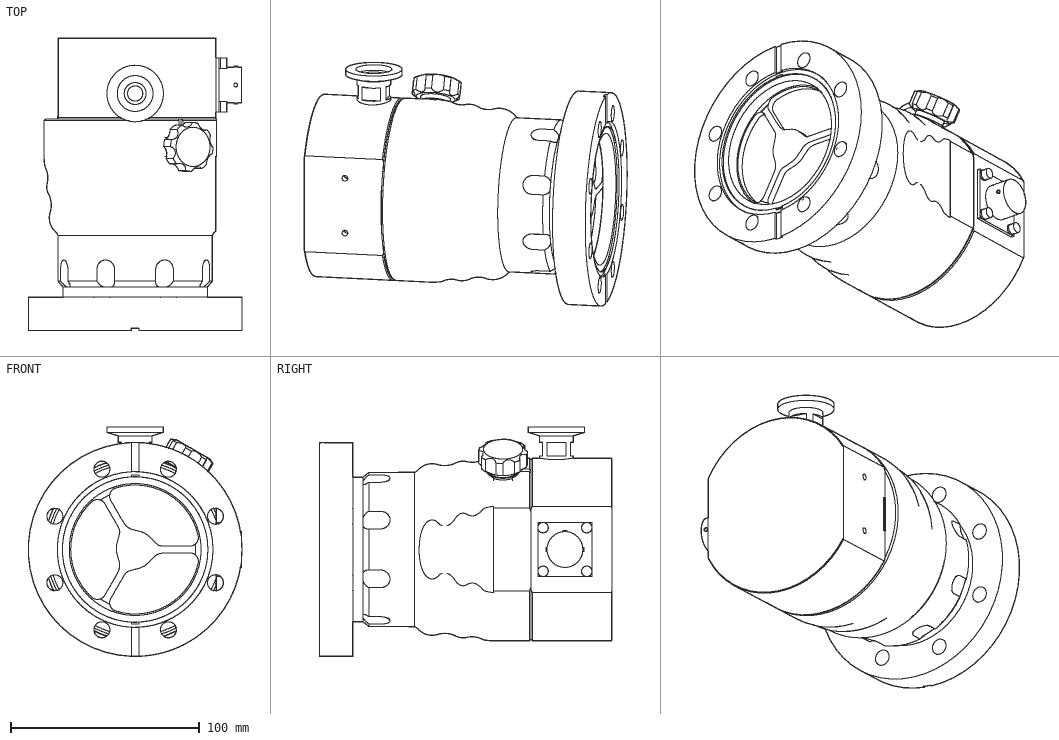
import cadquery as cq
import math


FLANGE_RADIUS = 113.5 / 2
FLANGE_THICKNESS = 17.7
BOLT_COUNT = 8
BOLT_CIRCLE_RADIUS = 92.1 / 2
BOLT_HOLE_DIAMETER = 8.4
GASKET_RECESS_RADIUS = 41.3
GASKET_RECESS_DEPTH = 2.0
KNIFE_EDGE_RADIUS = 38.6
KNIFE_EDGE_DEPTH = 0.8
KNIFE_INNER_DEPTH = 1.8
LEAK_GROOVE_WIDTH = 4.0
LEAK_GROOVE_DEPTH = 1.2

INLET_RADIUS = 35.0
SPIDER_FACE_Y = 8.3
SPIDER_HEIGHT = 4.0
SPIDER_ARMS = 3
ARM_WIDTH = 3.6
ARM_STRAIGHT_START = 17.0
ARM_ROOT_RADIUS = 4.5
HUB_MID_RADIUS = 10.0
HUB_WAIST_RADIAL = 8.2
HUB_WAIST_TANGENT = 9.0
SECTOR_RADIUS = 34.2
SPIDER_RADIUS = 32.0
SPIDER_RIM_STEP = 0.4

NECK_RADIUS = 38.4
COLLAR_RADIUS = 41.0
COLLAR_START = 23.1
COLLAR_CHAMFER_END = 26.2
COLLAR_END = 50.5
FLARE_START = 52.1
FLARE_RADIUS = 42.0
WAVES = [
    ((45.5, 58.5), (44.9, 63.4)),
    ((44.6, 67.5), (45.6, 71.6)),
    ((46.9, 75.5), (46.6, 78.6)),
    ((46.4, 82.0), (47.6, 86.3)),
]
BAND_SHOULDER = (48.1, 87.5)
BODY_RADIUS = 48.5
BAND_START = 92.4
BAND_ROUNDING_MIDDLE = (48.4, 90.2)
BAND_END = 112.3
BAND_CHAMFER = 1.0
HOUSING_FRONT_CHAMFER = 0.6
HOUSING_BACK_CHAMFER = 0.4
BODY_END = 155.2

CONNECTOR_FLAT_X = 42.8
BAND_FLAT_X = 43.2
MOUNT_FLAT_X = -40.8
MOUNT_HOLE_DIAMETER = 3.0
MOUNT_HOLE_DEPTH = 6.0
MOUNT_HOLE_Y = 133.2
MOUNT_HOLE_SPACING = 30.0
TAB_LENGTH = 18.4
TAB_WIDTH = 1.2
TAB_HEIGHT = 0.5

POCKET_WIDTH = 10.4
POCKET_END = 37.5
POCKET_FLOOR_RADIUS = NECK_RADIUS
POCKET_CORNER_RADIUS = 3.2
POCKET_HEIGHT = 8.0

PORT_Y = 125.7
PORT_TOP_Z = 65.0
PORT_RIM_RADIUS = 15.0
PORT_RIM_THICKNESS = 2.9
PORT_CONE_END_Z = 60.2
PORT_NECK_RADIUS = 9.0
PORT_BASE_Z = 40.0
WRENCH_SIZE = 15.0
WRENCH_TOP_Z = 56.8
WRENCH_BOTTOM_Z = 49.7
PORT_SEAT_DIAMETER = 19.0
PORT_SEAT_DEPTH = 3.0
PORT_BORE_DIAMETER = 11.6
PORT_BORE_END_DIAMETER = 8.1
PORT_FLOOR_Z = 44.0

KNOB_TILT = 30.0
KNOB_Y = 97.4
KNOB_TOP = 61.4
KNOB_CHAMFER_TOP = 60.1
KNOB_CHAMFER_BOTTOM = 52.8
KNOB_BOTTOM = 51.2
KNOB_RADIUS = 13.0
KNOB_FACE_RADIUS = 10.4
KNOB_STEM_RADIUS = 8.0
KNOB_STEM_BASE = 44.0
KNOB_SEAT_RADIUS = 8.7
KNOB_SEAT_TOP = 48.6
SCALLOP_COUNT = 8
SCALLOP_DIAMETER = 8.0
SCALLOP_CIRCLE_RADIUS = 15.0
FIRST_LOBE_ANGLE = -99.0
SPOT_FACE_HEIGHT = 47.6
SPOT_FACE_LENGTH = 2 * (KNOB_Y - BAND_START)
VENT_SLOT_WIDTH = 2.4
VENT_SLOT_FLOOR = 46.6

CONNECTOR_Y = 130.2
CONNECTOR_PLATE_SIZE = 28.8
CONNECTOR_PLATE_X = 44.4
CONNECTOR_BARREL_DIAMETER = 19.0
CONNECTOR_END_X = 56.5
SCREW_DIAMETER = 5.5
WASHER_DIAMETER = 5.6
WASHER_END_X = 45.3
SCREW_SPACING = 23.2
SCREW_HEAD_X = 48.7
BAYONET_PIN_DIAMETER = 2.0
BAYONET_PIN_X = 53.3
BAYONET_PIN_HEIGHT = 0.5


def box_between(x_range, y_range, z_range):
    """Box spanning the given (low, high) ranges."""
    sizes = [high - low for low, high in (x_range, y_range, z_range)]
    corner = (x_range[0], y_range[0], z_range[0])
    return cq.Workplane("XY").box(*sizes, centered=False).translate(corner)


def make_flange():
    flange = cq.Workplane("XZ").circle(FLANGE_RADIUS).extrude(-FLANGE_THICKNESS)
    holes = (
        cq.Workplane("XZ")
        .polarArray(BOLT_CIRCLE_RADIUS, 180 / BOLT_COUNT, 360, BOLT_COUNT)
        .circle(BOLT_HOLE_DIAMETER / 2)
        .extrude(-FLANGE_THICKNESS)
    )
    grooves = box_between(
        (-LEAK_GROOVE_WIDTH / 2, LEAK_GROOVE_WIDTH / 2),
        (0, LEAK_GROOVE_DEPTH),
        (-FLANGE_RADIUS, FLANGE_RADIUS),
    )
    return flange.cut(holes).cut(grooves)


def make_turned_body():
    """Neck, collar, wavy cooling jacket, band and housing in one revolved profile."""
    profile = (
        cq.Workplane("XY")
        .moveTo(0, 0)
        .lineTo(NECK_RADIUS, 0)
        .lineTo(NECK_RADIUS, COLLAR_START)
        .lineTo(COLLAR_RADIUS, COLLAR_CHAMFER_END)
        .lineTo(COLLAR_RADIUS, COLLAR_END)
        .lineTo(FLARE_RADIUS, FLARE_START)
    )
    for turning_point, end_point in WAVES:
        profile = profile.threePointArc(turning_point, end_point)
    profile = (
        profile
        .lineTo(*BAND_SHOULDER)
        .threePointArc(BAND_ROUNDING_MIDDLE, (BODY_RADIUS, BAND_START))
        .lineTo(BODY_RADIUS, BAND_END - BAND_CHAMFER)
        .lineTo(BODY_RADIUS - BAND_CHAMFER, BAND_END)
        .lineTo(BODY_RADIUS - HOUSING_FRONT_CHAMFER, BAND_END)
        .lineTo(BODY_RADIUS, BAND_END + HOUSING_FRONT_CHAMFER)
        .lineTo(BODY_RADIUS, BODY_END - HOUSING_BACK_CHAMFER)
        .lineTo(BODY_RADIUS - HOUSING_BACK_CHAMFER, BODY_END)
        .lineTo(0, BODY_END)
        .close()
    )
    return profile.revolve(360, (0, 0, 0), (0, 1, 0))


def cut_side_flats(body):
    across = (-BODY_RADIUS, BODY_RADIUS)
    jacket_flat = box_between((CONNECTOR_FLAT_X, BODY_RADIUS), (COLLAR_END, BAND_START), across)
    band_flat = box_between((BAND_FLAT_X, BODY_RADIUS), (BAND_START, BAND_END), across)
    connector_flat = box_between((CONNECTOR_FLAT_X, BODY_RADIUS), (BAND_END, BODY_END), across)
    mount_flat = box_between((-BODY_RADIUS, MOUNT_FLAT_X), (BAND_END, BODY_END), across)
    return body.cut(jacket_flat).cut(band_flat).cut(connector_flat).cut(mount_flat)


def add_mount_details(body):
    """Tab at the foot of the -X flat and the two screw holes in it."""
    tab = box_between(
        (MOUNT_FLAT_X - TAB_HEIGHT, MOUNT_FLAT_X),
        (BAND_END, BAND_END + TAB_WIDTH),
        (-TAB_LENGTH / 2, TAB_LENGTH / 2),
    )
    body = body.union(tab)
    for side in (-1, 1):
        mouth = cq.Vector(MOUNT_FLAT_X, MOUNT_HOLE_Y, side * MOUNT_HOLE_SPACING / 2)
        hole = cq.Solid.makeCylinder(MOUNT_HOLE_DIAMETER / 2, MOUNT_HOLE_DEPTH, mouth, cq.Vector(1, 0, 0))
        body = body.cut(cq.Workplane(hole))
    return body


def cut_bolt_pockets(body):
    """Round-ended pockets with rounded floors, one behind each flange hole."""
    half_width = POCKET_WIDTH / 2
    arc_start = POCKET_END - half_width
    cutter = (
        cq.Workplane("XY", origin=(0, 0, POCKET_FLOOR_RADIUS))
        .moveTo(-half_width, FLANGE_THICKNESS)
        .lineTo(-half_width, arc_start)
        .threePointArc((0, POCKET_END), (half_width, arc_start))
        .lineTo(half_width, FLANGE_THICKNESS)
        .close()
        .extrude(POCKET_HEIGHT)
    )
    cutter = cutter.faces("<Z").edges("not <Y").fillet(POCKET_CORNER_RADIUS)
    pitch = 360 / BOLT_COUNT
    for index in range(BOLT_COUNT):
        body = body.cut(cutter.rotate((0, 0, 0), (0, 1, 0), (index + 0.5) * pitch))
    return body


def make_inlet_cut():
    """Gasket recess, knife edge and bore down to the spider face."""
    profile = (
        cq.Workplane("XY")
        .moveTo(0, 0)
        .lineTo(GASKET_RECESS_RADIUS, 0)
        .lineTo(GASKET_RECESS_RADIUS, GASKET_RECESS_DEPTH)
        .lineTo(KNIFE_EDGE_RADIUS, KNIFE_EDGE_DEPTH)
        .lineTo(KNIFE_EDGE_RADIUS, KNIFE_INNER_DEPTH)
        .lineTo(INLET_RADIUS, KNIFE_INNER_DEPTH)
        .lineTo(INLET_RADIUS, SPIDER_FACE_Y + SPIDER_RIM_STEP)
        .lineTo(SPIDER_RADIUS, SPIDER_FACE_Y + SPIDER_RIM_STEP)
        .lineTo(SPIDER_RADIUS, SPIDER_FACE_Y)
        .lineTo(0, SPIDER_FACE_Y)
        .close()
    )
    return profile.revolve(360, (0, 0, 0), (0, 1, 0))


def make_sector_cut():
    """One recess between two spider arms, centred on the +X direction."""
    half_angle = math.pi / SPIDER_ARMS
    arm_direction = cq.Vector(math.cos(half_angle), math.sin(half_angle))
    edge_offset = cq.Vector(math.sin(half_angle), -math.cos(half_angle)) * (ARM_WIDTH / 2)
    rim_reach = math.sqrt(SECTOR_RADIUS**2 - (ARM_WIDTH / 2) ** 2)
    inner = arm_direction * ARM_STRAIGHT_START + edge_offset
    outer = arm_direction * rim_reach + edge_offset
    hub_edge = [
        (HUB_WAIST_RADIAL, HUB_WAIST_TANGENT),
        (HUB_MID_RADIUS, 0),
        (HUB_WAIST_RADIAL, -HUB_WAIST_TANGENT),
        (inner.x, -inner.y),
    ]
    leaving = (-arm_direction.x, -arm_direction.y)
    arriving = (arm_direction.x, -arm_direction.y)
    sector = (
        cq.Workplane("XZ", origin=(0, SPIDER_FACE_Y, 0))
        .moveTo(outer.x, outer.y)
        .lineTo(inner.x, inner.y)
        .spline(hub_edge, tangents=[leaving, arriving], includeCurrent=True)
        .lineTo(outer.x, -outer.y)
        .threePointArc((SECTOR_RADIUS, 0), (outer.x, outer.y))
        .close()
        .extrude(-SPIDER_HEIGHT)
    )
    rim_corner_side = cq.selectors.BoxSelector(
        (inner.x, 0, -SECTOR_RADIUS),
        (SECTOR_RADIUS, SPIDER_FACE_Y + SPIDER_HEIGHT, SECTOR_RADIUS),
    )
    return sector.edges("|Y").edges(rim_corner_side).fillet(ARM_ROOT_RADIUS)


def cut_inlet(body):
    body = body.cut(make_inlet_cut())
    sector = make_sector_cut()
    pitch = 360 / SPIDER_ARMS
    for index in range(SPIDER_ARMS):
        body = body.cut(sector.rotate((0, 0, 0), (0, 1, 0), (index + 0.5) * pitch))
    return body


def add_port(body):
    rim_bottom = PORT_TOP_Z - PORT_RIM_THICKNESS
    outside = (
        cq.Workplane("XZ")
        .moveTo(0, PORT_BASE_Z)
        .lineTo(PORT_NECK_RADIUS, PORT_BASE_Z)
        .lineTo(PORT_NECK_RADIUS, PORT_CONE_END_Z)
        .lineTo(PORT_RIM_RADIUS, rim_bottom)
        .lineTo(PORT_RIM_RADIUS, PORT_TOP_Z)
        .lineTo(0, PORT_TOP_Z)
        .close()
        .revolve(360, (0, 0, 0), (0, 1, 0))
    )
    wrench_height = WRENCH_TOP_Z - WRENCH_BOTTOM_Z
    wrench_ring = (
        cq.Workplane("XY", origin=(0, 0, WRENCH_BOTTOM_Z))
        .circle(PORT_RIM_RADIUS)
        .rect(WRENCH_SIZE, WRENCH_SIZE)
        .extrude(wrench_height)
    )
    seat_z = PORT_TOP_Z - PORT_SEAT_DEPTH
    bore = (
        cq.Workplane("XZ")
        .moveTo(0, PORT_FLOOR_Z)
        .lineTo(PORT_BORE_END_DIAMETER / 2, PORT_FLOOR_Z)
        .lineTo(PORT_BORE_DIAMETER / 2, seat_z)
        .lineTo(PORT_SEAT_DIAMETER / 2, seat_z)
        .lineTo(PORT_SEAT_DIAMETER / 2, PORT_TOP_Z)
        .lineTo(0, PORT_TOP_Z)
        .close()
        .revolve(360, (0, 0, 0), (0, 1, 0))
    )
    place = (0, PORT_Y, 0)
    port = outside.cut(wrench_ring)
    return body.union(port.translate(place)).cut(bore.translate(place))


def on_knob_axis(shape):
    """Move a shape built along Z onto the tilted knob axis."""
    return shape.rotate((0, 0, 0), (0, 1, 0), KNOB_TILT).translate((0, KNOB_Y, 0))


def add_knob(body):
    spot_face = (
        cq.Workplane("XY", origin=(0, 0, SPOT_FACE_HEIGHT))
        .rect(BODY_RADIUS, SPOT_FACE_LENGTH)
        .extrude(BODY_RADIUS - SPOT_FACE_HEIGHT)
    )
    slot_length = BAND_END - KNOB_Y
    vent_slot = (
        cq.Workplane("XY", origin=(0, slot_length / 2, VENT_SLOT_FLOOR))
        .rect(VENT_SLOT_WIDTH, slot_length)
        .extrude(BODY_RADIUS - VENT_SLOT_FLOOR)
    )
    knob = (
        cq.Workplane("XZ")
        .moveTo(0, KNOB_STEM_BASE)
        .lineTo(KNOB_SEAT_RADIUS, KNOB_STEM_BASE)
        .lineTo(KNOB_SEAT_RADIUS, KNOB_SEAT_TOP)
        .lineTo(KNOB_STEM_RADIUS, KNOB_SEAT_TOP)
        .lineTo(KNOB_STEM_RADIUS, KNOB_BOTTOM)
        .lineTo(KNOB_FACE_RADIUS, KNOB_BOTTOM)
        .lineTo(KNOB_RADIUS, KNOB_CHAMFER_BOTTOM)
        .lineTo(KNOB_RADIUS, KNOB_CHAMFER_TOP)
        .lineTo(KNOB_FACE_RADIUS, KNOB_TOP)
        .lineTo(0, KNOB_TOP)
        .close()
        .revolve(360, (0, 0, 0), (0, 1, 0))
    )
    first_scallop = FIRST_LOBE_ANGLE - 90 + 180 / SCALLOP_COUNT
    scallops = (
        cq.Workplane("XY", origin=(0, 0, KNOB_BOTTOM))
        .polarArray(SCALLOP_CIRCLE_RADIUS, first_scallop, 360, SCALLOP_COUNT)
        .circle(SCALLOP_DIAMETER / 2)
        .extrude(KNOB_TOP - KNOB_BOTTOM)
    )
    body = body.cut(on_knob_axis(spot_face)).cut(on_knob_axis(vent_slot))
    return body.union(on_knob_axis(knob.cut(scallops)))


def add_connector(body):
    """Square-flanged round connector with four screws and three bayonet pins."""
    base = cq.Workplane("YZ", origin=(CONNECTOR_FLAT_X, CONNECTOR_Y, 0))
    plate_thickness = CONNECTOR_PLATE_X - CONNECTOR_FLAT_X
    plate = base.rect(CONNECTOR_PLATE_SIZE, CONNECTOR_PLATE_SIZE).extrude(plate_thickness)
    barrel = base.circle(CONNECTOR_BARREL_DIAMETER / 2).extrude(CONNECTOR_END_X - CONNECTOR_FLAT_X)
    screw_places = base.rect(SCREW_SPACING, SCREW_SPACING, forConstruction=True).vertices()
    washers = screw_places.circle(WASHER_DIAMETER / 2).extrude(WASHER_END_X - CONNECTOR_FLAT_X)
    screws = screw_places.circle(SCREW_DIAMETER / 2).extrude(SCREW_HEAD_X - CONNECTOR_FLAT_X)
    body = body.union(plate).union(barrel).union(washers).union(screws)
    pin_length = CONNECTOR_BARREL_DIAMETER / 2 + BAYONET_PIN_HEIGHT
    pin_center = cq.Vector(BAYONET_PIN_X, CONNECTOR_Y, 0)
    for direction in ((0, 1, 0), (0, -1, 0), (0, 0, 1)):
        pin = cq.Solid.makeCylinder(BAYONET_PIN_DIAMETER / 2, pin_length, pin_center, cq.Vector(direction))
        body = body.union(cq.Workplane(pin))
    return body


pump = cut_side_flats(make_turned_body())
pump = add_mount_details(pump)
pump = cut_bolt_pockets(pump)
pump = make_flange().union(pump)
pump = cut_inlet(pump)
pump = add_port(pump)
pump = add_knob(pump)
result = add_connector(pump)